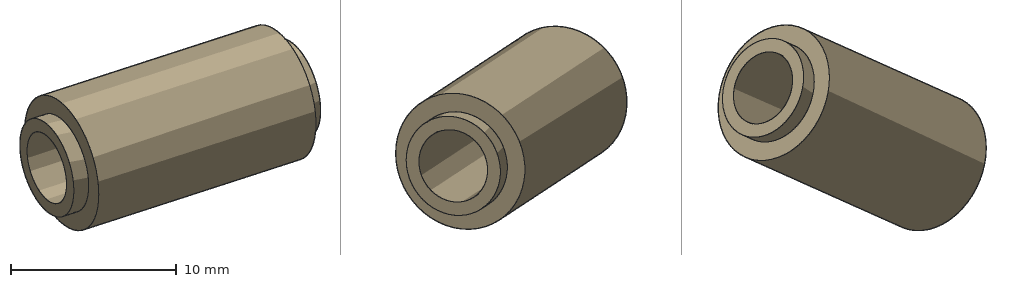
import cadquery as cq

total_length = 17.5
body_diameter = 8.5
neck_diameter = 6.2
bore_diameter = 4.52
neck_length = 1.05

body_length = total_length - 2 * neck_length


def centered_cylinder(diameter, length):
    """Cylinder along Y, centred on the origin."""
    start_plane = cq.Workplane("XZ", origin=(0, length / 2, 0))
    return start_plane.circle(diameter / 2).extrude(length)


body = centered_cylinder(body_diameter, body_length)
necks = centered_cylinder(neck_diameter, total_length)
bore = centered_cylinder(bore_diameter, total_length)

result = body.union(necks).cut(bore)